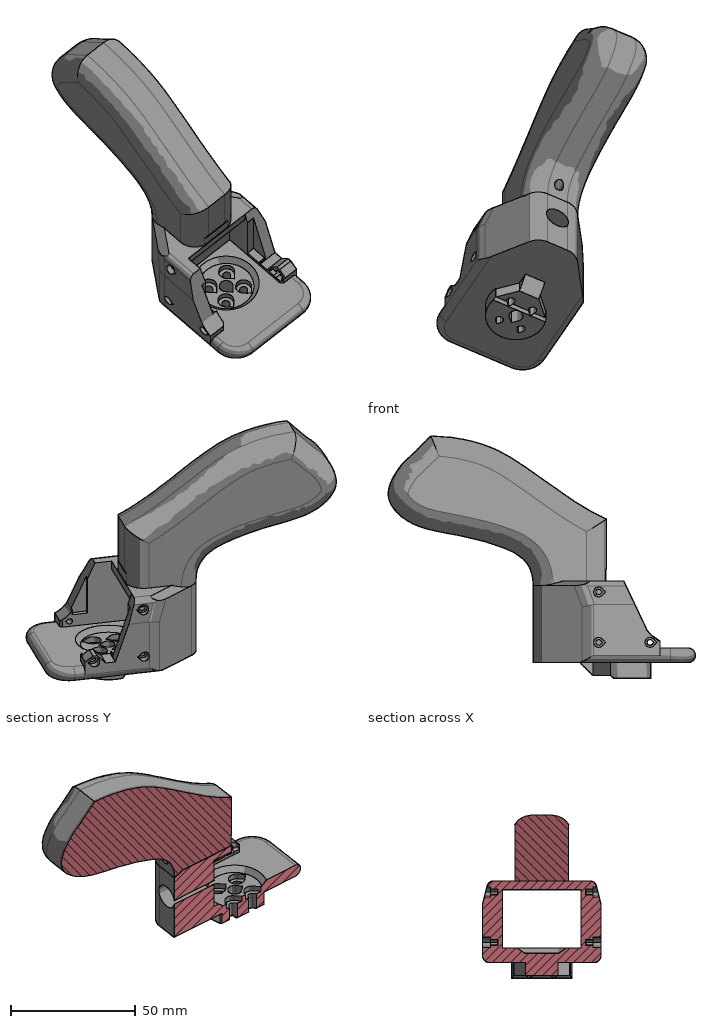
import cadquery as cq
import math


EDGE_RADIUS = 8.0
CUT_MARGIN = 12.4

GRIP_HALF_WIDTH = 12.5
FRONT_X = -35.2
GRIP_BACK_X = -5.6
GRIP_BACK_TOP_Z = 57.9
GRIP_TIP = (-76.4, 91.4)
GRIP_UPPER_CURVE = [(-63.3, 90.0), (-50.3, 86.0), (-38.2, 78.8), (-23.3, 68.3)]
GRIP_LOWER_CURVE = [(-47.6, 46.5), (-68.0, 51.8), (-88.0, 58.6), (-93.7, 68.1), (-88.5, 79.5)]
GRIP_TIP_DIRECTION = (1, 1.05)
GRIP_HOLE_DIAMETER = 4.0
GRIP_HOLE_Z = 37.7
GRIP_HOLE_TILT = 10.0
GRIP_HOLE_DEPTH = 8.7
BACK_RELIEF_DEPTH = 0.2
BACK_RELIEF_TOP_Z = 37.7

PLATE_THICKNESS = 6.0
HOUSING_WIDTH = 48.0
HOUSING_HALF_WIDTH = HOUSING_WIDTH / 2
HOUSING_TOP_Z = 33.0
HOUSING_FRONT_HALF_WIDTH = 8.7
HOUSING_SHOULDER_X = -13.4
WALL_END_X = 16.0
DRAFT_START_Z = 23.4
DRAFT_TOP_HALF_WIDTH = 21.5
TOP_FILLET = 2.7
RIM_RADIUS = PLATE_THICKNESS / 2
TOP_CHAMFER_HEIGHT = 1.9
TOP_CHAMFER_WIDTH = 3.8

PLATE_END_X = 30.2
PLATE_CORNER_RADIUS = 10.0

POCKET_HALF_WIDTH = 15.7
POCKET_FRONT_X = -14.5
POCKET_ROOF_Z = 29.4
WALL_END_CHAMFER = 1.0
CABLE_BORE_DIAMETER = 10.0
CABLE_BORE_Z = 18.2

WALL_TAIL_Z = 8.7
TAIL_CURVE_MIDDLE = (12.9, 10.7)
NEAR_SLOPE_TOP_X = 1.4
NEAR_SLOPE_END = (10.8, 13.1)
SADDLE_Z = 7.3
SADDLE_START_X = 3.3
SADDLE_END_X = 7.3
LEDGE_START_X = 11.0
LEDGE_END = (12.6, 11.0)

WALL_RELIEFS = [
    (-4.1, 3.0, SADDLE_Z, 19.1),
    (8.7, 15.4, SADDLE_Z, 17.7),
    (4.5, 10.8, LEDGE_END[1], -17.7),
]

SCREW_DIAMETER = 2.2
SCREW_HEAD_DIAMETER = 4.0
SCREW_HEAD_DEPTH = 3.2
BLIND_SCREW_DEPTH = 6.2
SCREW_FRONT_X = -8.8
SCREW_REAR_X = 11.9
SCREW_LOW_Z = 8.2
SCREW_HIGH_Z = 28.5

SEAT_RADIUS = 13.3
SEAT_FLOOR_RADIUS = 11.1
SEAT_DEPTH = SEAT_RADIUS - SEAT_FLOOR_RADIUS
SEAT_BORE_DIAMETER = 5.6
SEAT_SCREW_DIAMETER = 3.2
SEAT_SCREW_HEAD_DIAMETER = 6.5
SEAT_SCREW_HEAD_DEPTH = 2.5
SEAT_SCREW_OFFSET = 5.0
BOSS_RADIUS = 12.3
BOSS_HEIGHT = 6.3
BOSS_FLAT_X = -4.0
KEEL_HEIGHT = 5.2
KEEL_NOSE_X = -11.1
KEEL_NOSE_HALF_WIDTH = GRIP_HALF_WIDTH - EDGE_RADIUS
KEEL_HALF_WIDTH = 11.3


def box(x0, x1, y0, y1, z0, z1):
    """Axis-aligned block between two corners."""
    return cq.Workplane("XY").box(x1 - x0, y1 - y0, z1 - z0, centered=False).translate((x0, y0, z0))


def extrude_along_y(outline, y0, y1):
    """Extrude an XZ outline from y0 to y1."""
    return outline.extrude(y0 - y1).translate((0, y0, 0))


def teardrop(workplane, diameter):
    """Circle with a right-angled point towards +X, drawn on the given workplane."""
    radius = diameter / 2
    tangent = radius * math.sqrt(0.5)
    return (
        workplane.moveTo(tangent, tangent)
        .threePointArc((-radius, 0), (tangent, -tangent))
        .lineTo(radius * math.sqrt(2), 0)
        .close()
    )


def housing_plan_prism(height):
    """Plan outline of the housing extruded upwards, with its two front corners rounded."""
    near_side = [
        (WALL_END_X, -HOUSING_HALF_WIDTH),
        (HOUSING_SHOULDER_X, -HOUSING_HALF_WIDTH),
        (FRONT_X, -HOUSING_FRONT_HALF_WIDTH),
    ]
    far_side = [(x, -y) for x, y in reversed(near_side)]
    prism = cq.Workplane("XY").polyline(near_side + far_side).close().extrude(height)
    return prism.edges("|Z and <X").fillet(EDGE_RADIUS)


def cross_section_prism():
    """Housing cross-section, with leaning upper sides, extruded along X."""
    half_outline = [
        (HOUSING_HALF_WIDTH, 0),
        (HOUSING_HALF_WIDTH, DRAFT_START_Z),
        (DRAFT_TOP_HALF_WIDTH, HOUSING_TOP_Z),
    ]
    outline = half_outline + [(-y, z) for y, z in reversed(half_outline)]
    prism = cq.Workplane("YZ").polyline(outline).close().extrude(WALL_END_X - FRONT_X)
    return prism.translate((FRONT_X, 0, 0))


def housing_form():
    """Outer form: leaning sides, rounded shoulders, chamfered nose, rounded long edges."""
    form = housing_plan_prism(HOUSING_TOP_Z).intersect(cross_section_prism())
    shoulders = cq.selectors.BoxSelector(
        (HOUSING_SHOULDER_X - EDGE_RADIUS, -HOUSING_HALF_WIDTH - 1.2, 1.2),
        (HOUSING_SHOULDER_X + 1.2, HOUSING_HALF_WIDTH + 1.2, HOUSING_TOP_Z - 1.2),
    )
    form = form.edges(shoulders).edges("not |X").edges("not |Y").fillet(EDGE_RADIUS)

    nose = housing_plan_prism(HOUSING_TOP_Z - TOP_CHAMFER_HEIGHT)
    slope = math.degrees(math.atan2(TOP_CHAMFER_WIDTH, TOP_CHAMFER_HEIGHT))
    nose = nose.faces(">Z").wires().toPending().workplane().extrude(TOP_CHAMFER_HEIGHT, taper=slope)

    rounded = cross_section_prism()
    rounded = rounded.faces(">Z").edges("|X").fillet(TOP_FILLET)
    rounded = rounded.faces("<Z").edges("|X").fillet(RIM_RADIUS)
    return form.intersect(nose).intersect(rounded)


def plate():
    """Base plate with rounded rear corners and a half-round rim along its sides and rear edge."""
    front_x = HOUSING_SHOULDER_X + EDGE_RADIUS
    core_end_x = PLATE_END_X - RIM_RADIUS
    core_half_width = HOUSING_HALF_WIDTH - RIM_RADIUS
    corner_radius = PLATE_CORNER_RADIUS - RIM_RADIUS
    core = box(front_x, core_end_x, -core_half_width, core_half_width, 0, PLATE_THICKNESS)
    core = core.edges("|Z and >X").fillet(corner_radius)

    path = (
        cq.Workplane("XY", origin=(0, 0, RIM_RADIUS))
        .moveTo(front_x, -core_half_width)
        .lineTo(core_end_x - corner_radius, -core_half_width)
        .tangentArcPoint((corner_radius, corner_radius))
        .lineTo(core_end_x, core_half_width - corner_radius)
        .tangentArcPoint((-corner_radius, corner_radius))
        .lineTo(front_x, core_half_width)
    )
    rim_start = cq.Workplane("YZ", origin=(front_x, -core_half_width, RIM_RADIUS))
    half_disc = rim_start.moveTo(0, RIM_RADIUS).threePointArc((-RIM_RADIUS, 0), (0, -RIM_RADIUS)).close()
    return core.union(half_disc.sweep(path))


def pocket():
    """Hollow between the side walls, roofed in front of the grip's back face and open behind it."""
    roofed = box(POCKET_FRONT_X, WALL_END_X, -POCKET_HALF_WIDTH, POCKET_HALF_WIDTH,
                 PLATE_THICKNESS, POCKET_ROOF_Z)
    open_part = box(GRIP_BACK_X, WALL_END_X, -POCKET_HALF_WIDTH, POCKET_HALF_WIDTH,
                    PLATE_THICKNESS, HOUSING_TOP_Z)
    mouth_half_width = POCKET_HALF_WIDTH + WALL_END_CHAMFER
    mouth = (
        cq.Workplane("XY", origin=(0, 0, PLATE_THICKNESS))
        .polyline([
            (WALL_END_X - WALL_END_CHAMFER, POCKET_HALF_WIDTH),
            (WALL_END_X, mouth_half_width),
            (WALL_END_X, -mouth_half_width),
            (WALL_END_X - WALL_END_CHAMFER, -POCKET_HALF_WIDTH),
        ])
        .close()
        .extrude(HOUSING_TOP_Z - PLATE_THICKNESS)
    )
    return roofed.union(open_part).union(mouth)


def near_wall_cut():
    """Material above the sloped rear edge of the -Y wall."""
    outline = (
        cq.Workplane("XZ")
        .moveTo(NEAR_SLOPE_TOP_X, HOUSING_TOP_Z)
        .lineTo(*NEAR_SLOPE_END)
        .threePointArc(TAIL_CURVE_MIDDLE, (WALL_END_X, WALL_TAIL_Z))
        .lineTo(WALL_END_X, HOUSING_TOP_Z)
        .close()
    )
    return extrude_along_y(outline, -HOUSING_HALF_WIDTH, 0)


def far_wall_cut():
    """Material above the rear edge of the +Y wall, which dips to a saddle and rises to a ledge."""
    outline = (
        cq.Workplane("XZ")
        .moveTo(GRIP_BACK_X, HOUSING_TOP_Z)
        .lineTo(SADDLE_START_X, SADDLE_Z)
        .lineTo(SADDLE_END_X, SADDLE_Z)
        .lineTo(LEDGE_START_X, LEDGE_END[1])
        .lineTo(*LEDGE_END)
        .lineTo(WALL_END_X, WALL_TAIL_Z)
        .lineTo(WALL_END_X, HOUSING_TOP_Z)
        .close()
    )
    return extrude_along_y(outline, 0, HOUSING_HALF_WIDTH)


def wall_relief(x0, x1, floor_z, outer_y):
    """Recess in the inner face of a side wall, open upwards to the wall's sloped edge."""
    y0, y1 = sorted((math.copysign(POCKET_HALF_WIDTH, outer_y), outer_y))
    return box(x0, x1, y0, y1, floor_z, POCKET_ROOF_Z)


def side_screw_hole(x, z, side, depth):
    """Teardrop screw hole with a wider head recess, entering from side -1 (-Y) or +1 (+Y)."""
    def bore(diameter, length):
        start = cq.Workplane("XZ", origin=(x, side * HOUSING_HALF_WIDTH, z))
        return teardrop(start, diameter).extrude(side * length)

    return bore(SCREW_HEAD_DIAMETER, SCREW_HEAD_DEPTH).union(bore(SCREW_DIAMETER, depth))


def lower_boss():
    """Round boss below the plate, cut flat and bevelled on its front side."""
    cylinder = cq.Workplane("XY").circle(BOSS_RADIUS).extrude(-BOSS_HEIGHT)
    bevel = BOSS_HEIGHT - KEEL_HEIGHT
    outline = cq.Workplane("XZ").polyline([
        (BOSS_FLAT_X, 0),
        (BOSS_FLAT_X, -KEEL_HEIGHT),
        (BOSS_FLAT_X + bevel, -BOSS_HEIGHT),
        (BOSS_RADIUS, -BOSS_HEIGHT),
        (BOSS_RADIUS, 0),
    ]).close()
    return cylinder.intersect(extrude_along_y(outline, -BOSS_RADIUS, BOSS_RADIUS))


def keel():
    """Pointed foot in front of the boss, with a 45 degree ramp at its nose."""
    ramp_start_x = KEEL_NOSE_X - KEEL_HEIGHT
    near_side = [
        (BOSS_FLAT_X, -KEEL_HALF_WIDTH),
        (KEEL_NOSE_X, -KEEL_NOSE_HALF_WIDTH),
        (ramp_start_x, -KEEL_NOSE_HALF_WIDTH),
    ]
    plan = near_side + [(x, -y) for x, y in reversed(near_side)]
    prism = cq.Workplane("XY").polyline(plan).close().extrude(-KEEL_HEIGHT)
    ramp = cq.Workplane("XZ").polyline([
        (ramp_start_x, 0),
        (KEEL_NOSE_X, -KEEL_HEIGHT),
        (BOSS_FLAT_X, -KEEL_HEIGHT),
        (BOSS_FLAT_X, 0),
    ]).close()
    return prism.intersect(extrude_along_y(ramp, -KEEL_HALF_WIDTH, KEEL_HALF_WIDTH))


def seat_cut():
    """Conical seat in the plate, with a centre bore and four recessed screw holes through the boss."""
    floor_z = PLATE_THICKNESS - SEAT_DEPTH
    through = floor_z + BOSS_HEIGHT
    floor = cq.Workplane("XY", origin=(0, 0, floor_z))
    cut = floor.circle(SEAT_FLOOR_RADIUS).workplane(offset=SEAT_DEPTH).circle(SEAT_RADIUS).loft()
    cut = cut.union(teardrop(floor, SEAT_BORE_DIAMETER).extrude(-through))
    for x in (-SEAT_SCREW_OFFSET, SEAT_SCREW_OFFSET):
        for y in (-SEAT_SCREW_OFFSET, SEAT_SCREW_OFFSET):
            start = cq.Workplane("XY", origin=(x, y, floor_z))
            cut = cut.union(teardrop(start, SEAT_SCREW_DIAMETER).extrude(-through))
            cut = cut.union(teardrop(start, SEAT_SCREW_HEAD_DIAMETER).extrude(-SEAT_SCREW_HEAD_DEPTH))
    return cut


def make_housing(form):
    """Housing with plate, side walls, seat and holes."""
    housing = form.cut(pocket()).cut(near_wall_cut()).cut(far_wall_cut())
    for relief in WALL_RELIEFS:
        housing = housing.cut(wall_relief(*relief))
    housing = housing.union(plate()).union(lower_boss()).union(keel())
    housing = housing.cut(seat_cut())

    cable_bore = (
        cq.Workplane("YZ", origin=(FRONT_X, 0, CABLE_BORE_Z))
        .circle(CABLE_BORE_DIAMETER / 2)
        .extrude(POCKET_FRONT_X - FRONT_X)
    )
    housing = housing.cut(cable_bore)

    through_depth = HOUSING_HALF_WIDTH - POCKET_HALF_WIDTH
    screws = [
        (SCREW_FRONT_X, SCREW_LOW_Z, BLIND_SCREW_DEPTH),
        (SCREW_FRONT_X, SCREW_HIGH_Z, BLIND_SCREW_DEPTH),
        (SCREW_REAR_X, SCREW_LOW_Z, through_depth),
    ]
    for side in (-1, 1):
        for x, z, depth in screws:
            housing = housing.cut(side_screw_hole(x, z, side, depth))
    return housing


def make_grip(form):
    """Curved grip with rounded side edges, standing on the top of the housing form."""
    bottom_z = HOUSING_TOP_Z - TOP_CHAMFER_HEIGHT
    back_top = (GRIP_BACK_X, GRIP_BACK_TOP_Z)
    outline = (
        cq.Workplane("XZ")
        .moveTo(GRIP_BACK_X, bottom_z)
        .lineTo(FRONT_X, bottom_z)
        .spline(GRIP_LOWER_CURVE + [GRIP_TIP], tangents=[(0, 1), GRIP_TIP_DIRECTION], includeCurrent=True)
        .spline(GRIP_UPPER_CURVE + [back_top], includeCurrent=True)
        .close()
    )
    grip = extrude_along_y(outline, -GRIP_HALF_WIDTH, GRIP_HALF_WIDTH)
    grip = grip.faces("<Y or >Y").edges("not <Z").fillet(EDGE_RADIUS)
    grip = grip.cut(form)

    back_relief = box(GRIP_BACK_X - BACK_RELIEF_DEPTH, GRIP_BACK_X, -GRIP_HALF_WIDTH, GRIP_HALF_WIDTH,
                      HOUSING_TOP_Z, BACK_RELIEF_TOP_Z)
    tilt = math.radians(GRIP_HOLE_TILT)
    inward = cq.Vector(math.cos(tilt), 0, -math.sin(tilt))
    entry = cq.Vector(FRONT_X, 0, GRIP_HOLE_Z)
    hole = cq.Solid.makeCylinder(
        GRIP_HOLE_DIAMETER / 2, GRIP_HOLE_DEPTH + CUT_MARGIN, entry - inward * CUT_MARGIN, inward)
    return grip.cut(back_relief).cut(cq.Workplane(hole))


housing_block = housing_form()
housing = make_housing(housing_block)
grip = make_grip(housing_block)
result = cq.Compound.makeCompound([housing.val(), grip.val()])